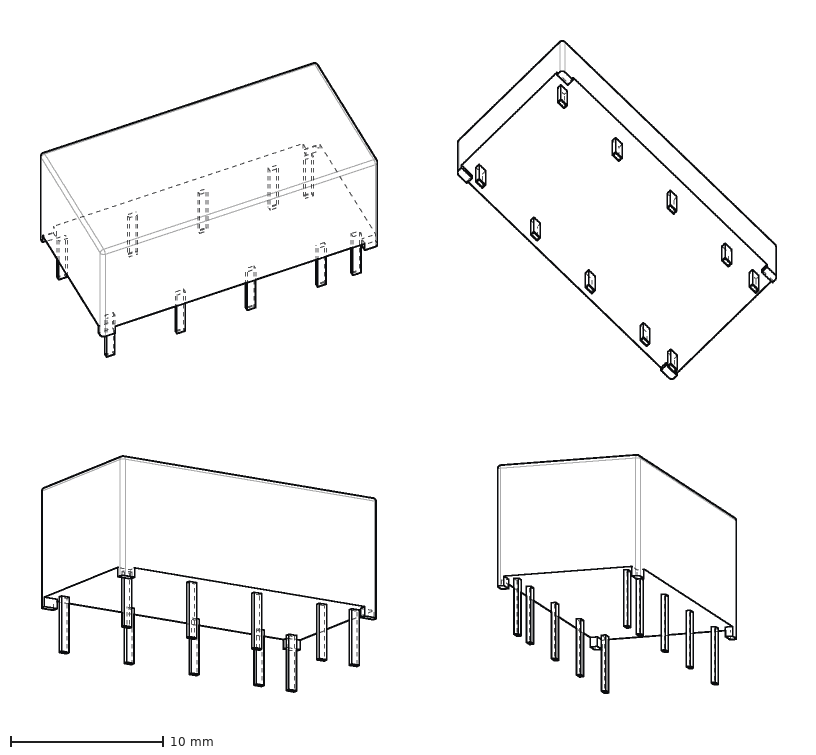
import cadquery as cq

foot_width = 0.5
foot_length = 1.0
foot_height = 0.65

case_width = 9.9
case_length = 20.0
case_height = 8.2
edge_radius = foot_width / 2

pitch = 2.55
pin_thickness = 0.3
pin_width = 0.6
pin_drop = 3.15
tip_chamfer = 0.05
row_spacing = 3 * pitch
first_row_x = -3.75
first_pin_y = -8.92
occupied_slots = (0, 2, 4, 6, 7)


def make_case():
    """Block standing on Z = 0, rounded everywhere except around its base."""
    block = cq.Workplane("XY").box(case_width, case_length, case_height, centered=(True, True, False))
    return block.edges("|Z or >Z").fillet(edge_radius)


def make_relief(width, length):
    """Channel cut into the underside, as deep as the feet are tall."""
    return cq.Workplane("XY").box(width, length, foot_height, centered=(True, True, False))


def make_pins():
    """All terminal pins, hanging from the relieved underside with chamfered tips."""
    rows_x = (first_row_x, first_row_x + row_spacing)
    slots_y = [first_pin_y + slot * pitch for slot in occupied_slots]
    pins = (
        cq.Workplane("XY", origin=(0, 0, -pin_drop))
        .pushPoints([(x, y) for x in rows_x for y in slots_y])
        .rect(pin_thickness, pin_width)
        .extrude(pin_drop + foot_height)
    )
    return pins.faces("<Z").edges().chamfer(tip_chamfer)


channel_along_x = make_relief(case_width, case_length - 2 * foot_length)
channel_along_y = make_relief(case_width - 2 * foot_width, case_length)

result = make_case().cut(channel_along_x).cut(channel_along_y).union(make_pins())